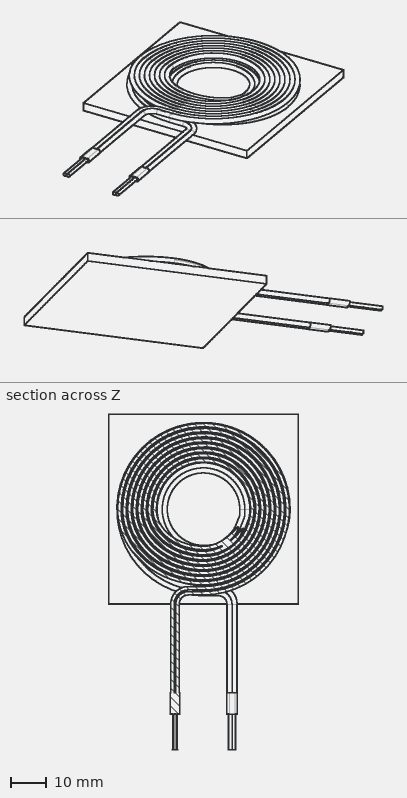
import cadquery as cq
import math

total_height = 5.4
total_length = 94.5
plate_side = 53.5

strand_radius = 0.72
strand_merge = 0.02
strands_per_turn = 2
layer_gap = 0.02
coil_inner_radius = 10.2
turns_per_layer = 5

lead_offset = 8.0
sleeve_length = 6.05
sleeve_straight = 1.6
tip_length = 10.0
tip_strand_radius = 0.51

strand_pitch = 2 * strand_radius - strand_merge
layer_pitch = 2 * strand_radius + layer_gap
turn_pitch = strands_per_turn * strand_pitch
first_turn_radius = coil_inner_radius + strand_radius + strand_pitch / 2
last_turn_radius = first_turn_radius + (turns_per_layer - 1) * turn_pitch
plate_thickness = total_height - 2 * strand_radius - layer_pitch
lower_z = plate_thickness + strand_radius
upper_z = lower_z + layer_pitch
plate_edge = plate_side / 2
tip_end = total_length - plate_edge
sleeve_end = tip_end - tip_length
lead_end = sleeve_end - sleeve_length
bend_radius = plate_edge - last_turn_radius

descent_points = 7


def strand_row(workplane, count, radius):
    """Outline of a row of merging round strands, centred on the workplane origin."""
    pitch = 2 * radius - strand_merge
    cusp_height = math.sqrt(radius**2 - (pitch / 2) ** 2)
    first_x = -(count - 1) * pitch / 2
    centres = [first_x + i * pitch for i in range(count)]
    outline = workplane.moveTo(first_x - radius, 0)
    for x in centres[:-1]:
        outline = outline.threePointArc((x, radius), (x + pitch / 2, cusp_height))
    last_x = centres[-1]
    outline = outline.threePointArc((last_x, radius), (last_x + radius, 0))
    for x in reversed(centres[1:]):
        outline = outline.threePointArc((x, -radius), (x - pitch / 2, -cusp_height))
    return outline.threePointArc((first_x, -radius), (first_x - radius, 0)).close()


def winding_row(first_turn, last_turn, z):
    """Cross-section of neighbouring turns, in the XZ plane, with the radius of its middle."""
    middle = first_turn_radius + ((first_turn + last_turn) / 2 - 1) * turn_pitch
    count = strands_per_turn * (last_turn - first_turn + 1)
    section = strand_row(cq.Workplane("XZ", origin=(middle, 0, z)), count, strand_radius)
    return section, middle


def round_turns(first_turn, z):
    """Three quarters of concentric turns, running from +X through +Y and -X to -Y."""
    section, middle = winding_row(first_turn, turns_per_layer, z)
    return section.revolve(270, (-middle, 0), (-middle, 1))


def shifting_turns(z):
    """Quarter from +X to -Y in which every turn moves inward by one turn."""
    section, middle = winding_row(2, turns_per_layer, z)
    path = (
        cq.Workplane("XY", origin=(0, 0, z))
        .ellipseArc(middle, middle - turn_pitch, 270, 360, startAtCurrent=False, sense=1)
    )
    return section.sweep(path)


def descending_turn():
    """Quarter from -Y to +X along which the innermost turn drops from the upper to the lower layer."""
    points = []
    for i in range(descent_points):
        share = i / (descent_points - 1)
        angle = math.pi / 2 * (share - 1)
        drop = layer_pitch * (1 - math.cos(math.pi * share)) / 2
        x = first_turn_radius * math.cos(angle)
        y = first_turn_radius * math.sin(angle)
        points.append((x, y, upper_z - drop))
    path = cq.Workplane("XY").spline(points, tangents=[(1, 0, 0), (0, 1, 0)])
    upright_guide = path.translate((0, 0, layer_pitch))
    start = cq.Workplane("YZ", origin=(0, -first_turn_radius, upper_z))
    return strand_row(start, strands_per_turn, strand_radius).sweep(path, auxSpine=upright_guide)


def lead(z):
    """Lead from the last turn at -Y, bending out past the plate, with its sleeve and bare tip."""
    path = (
        cq.Workplane("XY", origin=(0, 0, z))
        .moveTo(0, -last_turn_radius)
        .lineTo(lead_offset - bend_radius, -last_turn_radius)
        .tangentArcPoint((lead_offset, -plate_edge), relative=False)
        .lineTo(lead_offset, -lead_end)
    )
    start = cq.Workplane("YZ", origin=(0, -last_turn_radius, z))
    wires = strand_row(start, strands_per_turn, strand_radius).sweep(path)
    sleeve = (
        cq.Workplane("XZ", origin=(lead_offset, -lead_end, z))
        .slot2D(sleeve_straight + 2 * strand_radius, 2 * strand_radius)
        .extrude(sleeve_length)
    )
    tip_start = cq.Workplane("XZ", origin=(lead_offset, -sleeve_end, z))
    tip = strand_row(tip_start, strands_per_turn, tip_strand_radius).extrude(tip_length)
    return wires.union(sleeve).union(tip)


def make_plate():
    """Square ferrite plate carrying the coil."""
    return cq.Workplane("XY").box(plate_side, plate_side, plate_thickness, centered=(True, True, False))


def make_coil():
    """Both winding layers, the descent that joins them and the two leads."""
    lower_layer = round_turns(1, lower_z).union(shifting_turns(lower_z)).union(lead(lower_z))
    upper_turns = round_turns(2, upper_z).rotate((0, 0, 0), (0, 0, 1), -90)
    upper_layer = upper_turns.union(shifting_turns(upper_z).mirror("YZ")).union(lead(upper_z).mirror("YZ"))
    return lower_layer.union(upper_layer).union(descending_turn())


plate = make_plate()
coil = make_coil()
result = cq.Compound.makeCompound([*plate.solids().vals(), *coil.solids().vals()])